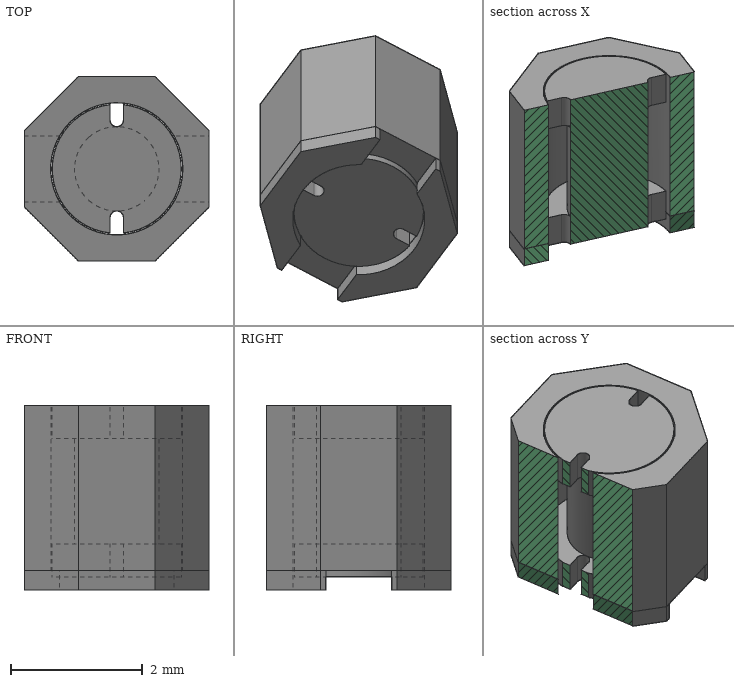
import cadquery as cq

sides = 8
width = 2.8
height = 2.8
bore_diameter = 2.0

terminal_height = 0.3
terminal_gap = 1.0

radial_clearance = 0.02
flange_diameter = bore_diameter - 2 * radial_clearance
core_diameter = 1.28
drum_bottom = 0.2
flange_thickness = 0.5
wire_slot_width = 0.2


def octagon_ring(bottom, thickness):
    """Regular octagon, flats square to X and Y, with the round bore through it."""
    return (
        cq.Workplane("XY", origin=(0, 0, bottom))
        .polygon(sides, width, circumscribed=True)
        .circle(bore_diameter / 2)
        .extrude(thickness)
    )


def make_terminal(side):
    """Half of the octagonal foot, on the +Y (side = 1) or -Y (side = -1) side."""
    depth = (width - terminal_gap) / 2
    keep = cq.Workplane("XY").box(width, depth, terminal_height, centered=(True, True, False))
    keep = keep.translate((0, side * (terminal_gap + depth) / 2, 0))
    return octagon_ring(0, terminal_height).intersect(keep)


def make_drum():
    """Core with a flange at each end; wire slots run from the rim in to the core."""
    drum_height = height - drum_bottom
    drum = cq.Workplane("XY", origin=(0, 0, drum_bottom)).circle(core_diameter / 2).extrude(drum_height)
    for flange_bottom in (drum_bottom, height - flange_thickness):
        flange = (
            cq.Workplane("XY", origin=(0, 0, flange_bottom))
            .circle(flange_diameter / 2)
            .extrude(flange_thickness)
        )
        drum = drum.union(flange)

    slot_inner_end = core_diameter / 2
    slot_outer_end = width / 2
    slot_length = slot_outer_end - slot_inner_end
    slot_center = (slot_inner_end + slot_outer_end) / 2
    slots = (
        cq.Workplane("XY", origin=(0, 0, drum_bottom))
        .pushPoints([(0, slot_center), (0, -slot_center)])
        .slot2D(slot_length, wire_slot_width, 90)
        .extrude(drum_height)
    )
    return drum.cut(slots)


shield_ring = octagon_ring(terminal_height, height - terminal_height)
terminals = [make_terminal(side) for side in (1, -1)]
drum = make_drum()

result = cq.Compound.makeCompound(
    [shield_ring.val(), drum.val(), *[terminal.val() for terminal in terminals]]
)